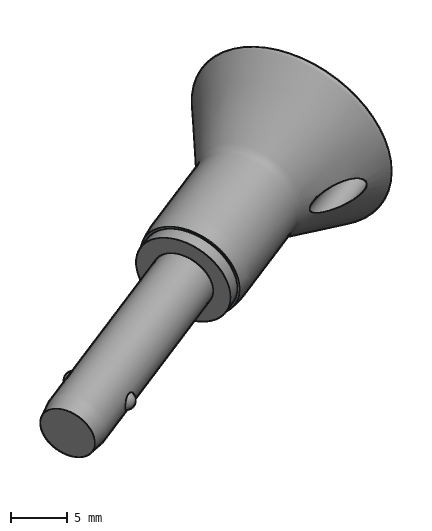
import cadquery as cq
import math

total_length = 43.0
handle_length = 21.03
shank_length = total_length - handle_length
collar_length = 1.3
sleeve_nose_length = 1.55
sleeve_end_from_back = 9.37
tip_length = 1.68

head_radius = 9.998
sleeve_radius = 5.14
sleeve_nose_radius = 5.0
collar_radius = 4.75
shank_radius = 3.0
tip_radius = 2.75

rim_radius = 0.45
neck_fillet_radius = 2.0
flare_angle = math.radians(30.5)

ball_radius = 0.9
ball_reach = 3.53
ball_from_tip = 6.1

lanyard_hole_radius = 1.5
lanyard_hole_offset = 7.22


def on_arc(center, radius, angle):
    """Point on an arc in the (radius, Y) half-plane, angle from the radial axis."""
    return (
        center[0] + radius * math.cos(angle),
        center[1] + radius * math.sin(angle),
    )


def make_body():
    """Shank, collar, sleeve and flared head as one revolved profile."""
    neck_center = (sleeve_radius + neck_fillet_radius, handle_length - sleeve_end_from_back)
    rim_center = (head_radius - rim_radius, handle_length - rim_radius)
    nose_end = collar_length + sleeve_nose_length
    nose_middle = collar_length + sleeve_nose_length / 2
    nose_middle_radius = sleeve_radius - (sleeve_radius - sleeve_nose_radius) / 4

    profile = (
        cq.Workplane("XY")
        .moveTo(0, -shank_length)
        .lineTo(tip_radius, -shank_length)
        .lineTo(shank_radius, tip_length - shank_length)
        .lineTo(shank_radius, 0)
        .lineTo(collar_radius, 0)
        .lineTo(collar_radius, collar_length)
        .lineTo(sleeve_nose_radius, collar_length)
        .threePointArc((nose_middle_radius, nose_middle), (sleeve_radius, nose_end))
        .lineTo(sleeve_radius, neck_center[1])
        .threePointArc(
            on_arc(neck_center, neck_fillet_radius, math.pi - flare_angle / 2),
            on_arc(neck_center, neck_fillet_radius, math.pi - flare_angle),
        )
        .lineTo(*on_arc(rim_center, rim_radius, -flare_angle))
        .threePointArc(
            on_arc(rim_center, rim_radius, -flare_angle / 2),
            (head_radius, rim_center[1]),
        )
        .threePointArc(
            on_arc(rim_center, rim_radius, math.pi / 4),
            (rim_center[0], handle_length),
        )
        .lineTo(0, handle_length)
        .close()
    )
    return profile.revolve(360, (0, 0, 0), (0, 1, 0))


def make_locking_ball(side):
    """Ball standing proud of the shank on the given side (+1 or -1 along X)."""
    ball_x = side * (ball_reach - ball_radius)
    ball_y = ball_from_tip - shank_length
    return cq.Workplane("XY").sphere(ball_radius).translate((ball_x, ball_y, 0))


def make_lanyard_hole():
    """Cutter parallel to the pin axis, from the shoulder out through the head."""
    return (
        cq.Workplane("XZ")
        .center(lanyard_hole_offset, 0)
        .circle(lanyard_hole_radius)
        .extrude(-total_length)
    )


result = make_body()
for side in (-1, 1):
    result = result.union(make_locking_ball(side))
result = result.cut(make_lanyard_hole())